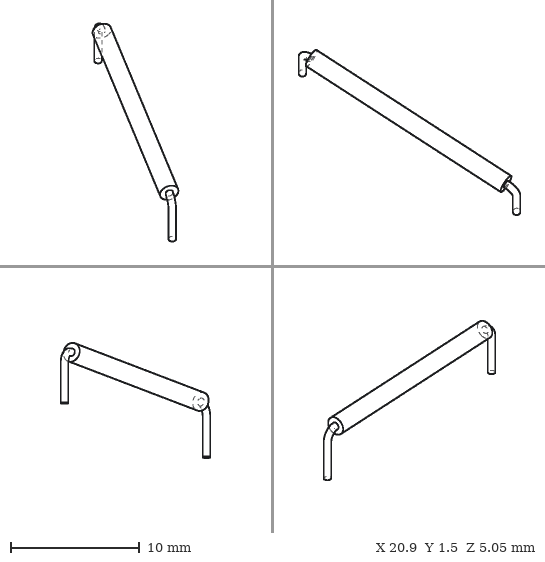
import cadquery as cq

overall_length = 20.92
overall_height = 5.05
body_diameter = 1.5
body_length = 18.47
wire_diameter = 0.6
bend_radius = 1.0

leg_x = (overall_length - wire_diameter) / 2
bend_start_x = leg_x - bend_radius
body_start_x = -bend_start_x
leg_bottom_z = body_diameter / 2 - overall_height


def make_body():
    """Solid cylinder along X, starting where the -X bend ends."""
    return (
        cq.Workplane("YZ", origin=(body_start_x, 0, 0))
        .circle(body_diameter / 2)
        .extrude(body_length)
    )


def make_wire():
    """Round wire through the body, bent down into a leg at each end."""
    path = (
        cq.Workplane("XZ")
        .moveTo(-leg_x, leg_bottom_z)
        .lineTo(-leg_x, -bend_radius)
        .tangentArcPoint((-bend_start_x, 0), relative=False)
        .lineTo(bend_start_x, 0)
        .tangentArcPoint((leg_x, -bend_radius), relative=False)
        .lineTo(leg_x, leg_bottom_z)
    )
    return (
        cq.Workplane("XY", origin=(-leg_x, 0, leg_bottom_z))
        .circle(wire_diameter / 2)
        .sweep(path)
    )


result = make_body().union(make_wire())